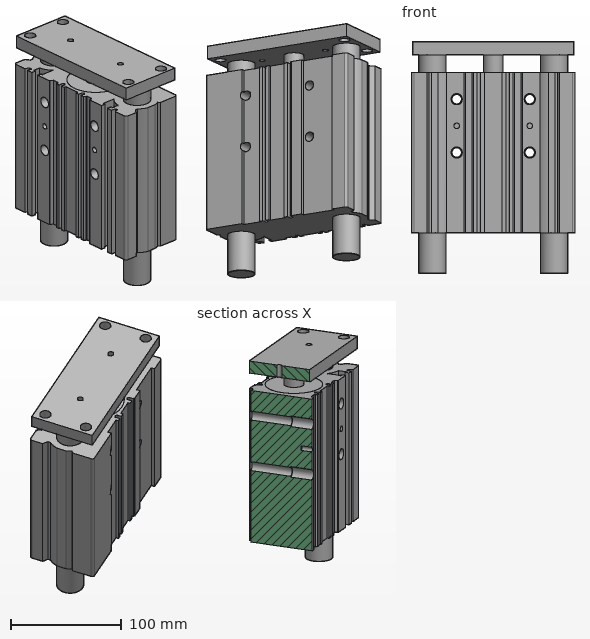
import cadquery as cq
import math

total_height = 209.5
plate_thickness = 12.0
rod_gap = 16.0
housing_height = 144.8
plate_bottom = total_height - plate_thickness
housing_top = plate_bottom - rod_gap
housing_bottom = housing_top - housing_height

housing_length = 148.0
side_x = housing_length / 2
back_y = 31.8
pad_y = -32.0
front_y = -31.5
corner_radius = 2.3

guide_rod_spacing = 110.0
guide_rod_x = guide_rod_spacing / 2
guide_rod_diameter = 25.0
guide_rod_chamfer = 0.5
side_wall_radius = 19.5
front_wall_radius = 21.0
piston_rod_diameter = 18.0
cap_diameter = 52.0
cap_thickness = 10.5

corner_block_x = 60.3
corner_block_lean = 2.3
rib_outer_x = 55.7
rib_inner_x = 49.9
pad_outer_x = 42.3
pad_inner_x = 26.6
centre_rib_x = 17.8
slot_x = 13.0
slot_width = 3.1
slot_depth = 5.2
centre_panel_x = 7.8
centre_panel_depth = 2.0
corner_groove_y = -27.2
pad_groove_y = -28.7
lip_depth = 4.2
lip_overhang = 2.0
wall_slope = 1.5

side_lip_y = 18.6
short_side_lip_y = 11.0
side_groove_depth = 4.5
side_lip_lean = 3.1

back_block_x = 58.7
back_pad_x = 26.8
back_step_x = 15.7
back_wide_block_x = 35.5
back_step_y = 30.8
back_groove_y = 28.5

mount_spacing = 66.0
mount_x = mount_spacing / 2
mount_heights = (109.4, 157.5)
mount_thread_diameter = 10.0
mount_thread_depth = 21.0
mount_through_diameter = 8.5
pin_diameter = 5.0
housing_pin_height = sum(mount_heights) / 2
housing_pin_depth = 10.5

plate_length = 145.5
plate_width = 60.1
plate_hole_diameter = 10.0
plate_hole_x = 65.0
plate_hole_y = 20.1
pin_slot_length = 5.7


def column(points):
    """Prism of housing height over a closed XY outline."""
    return cq.Workplane("XY", origin=(0, 0, housing_bottom)).polyline(points).close().extrude(housing_height)


def strip(x_start, x_end, y_start, y_end):
    """Rectangular column between two X and two Y positions."""
    return column([(x_start, y_start), (x_end, y_start), (x_end, y_end), (x_start, y_end)])


def disc(x, diameter, bottom, height):
    """Upright cylinder centred on (x, 0)."""
    return cq.Workplane("XY", origin=(x, 0, bottom)).circle(diameter / 2).extrude(height)


def both_sides(shape):
    """The shape together with its mirror image across X = 0."""
    return shape.union(shape.mirror("YZ"))


def guide_walls(radius):
    """Round walls that surround the two guide rods."""
    return both_sides(disc(guide_rod_x, 2 * radius, housing_bottom, housing_height))


def housing_block():
    block = strip(-side_x, side_x, front_y, back_y).edges("|Z").fillet(corner_radius)
    pads = strip(pad_inner_x, pad_outer_x, pad_y, 0)
    ribs = strip(rib_inner_x, rib_outer_x, pad_y, 0)
    return block.union(both_sides(pads.union(ribs)))


def round_slot(mouth_y, bottom_y):
    """Narrow groove with a round bottom."""
    radius = slot_width / 2
    straight_y = bottom_y - math.copysign(radius, bottom_y - mouth_y)
    return (
        cq.Workplane("XY", origin=(0, 0, housing_bottom))
        .moveTo(slot_x - radius, mouth_y)
        .lineTo(slot_x - radius, straight_y)
        .threePointArc((slot_x, bottom_y), (slot_x + radius, straight_y))
        .lineTo(slot_x + radius, mouth_y)
        .close()
        .extrude(housing_height)
    )


def front_grooves():
    corner_groove = column([
        (corner_block_x, pad_y),
        (corner_block_x - corner_block_lean, corner_groove_y),
        (rib_outer_x, corner_groove_y),
        (rib_outer_x, pad_y),
    ])
    lip_y = pad_y + lip_depth
    mouth = strip(pad_outer_x, rib_inner_x, pad_y, lip_y)
    cavity = strip(pad_outer_x - lip_overhang, rib_inner_x + lip_overhang, lip_y, 0)
    deep_groove = mouth.union(cavity).cut(guide_walls(front_wall_radius))
    pad_groove = column([
        (pad_inner_x, pad_y),
        (pad_inner_x - wall_slope, pad_groove_y),
        (centre_rib_x + wall_slope, pad_groove_y),
        (centre_rib_x + wall_slope, front_y + wall_slope),
        (centre_rib_x, front_y),
        (centre_rib_x, pad_y),
    ])
    slot = round_slot(front_y, front_y + slot_depth)
    panel = strip(0, centre_panel_x, front_y, front_y + centre_panel_depth)
    return both_sides(corner_groove.union(deep_groove).union(pad_groove).union(slot).union(panel))


def side_groove(face_x, back_lip_y):
    """Recess in one side, leaving the guide rod wall standing in its middle."""
    floor_x = face_x - math.copysign(side_groove_depth, face_x)
    recess = column([
        (face_x, back_lip_y),
        (floor_x, back_lip_y - side_lip_lean),
        (floor_x, side_lip_lean - side_lip_y),
        (face_x, -side_lip_y),
    ])
    return recess.cut(guide_walls(side_wall_radius))


def back_grooves():
    step = strip(-back_step_x, back_wide_block_x, back_step_y, back_y)
    wide_groove = strip(-back_block_x, -back_pad_x, back_groove_y, back_y)
    narrow_groove = strip(centre_rib_x, back_wide_block_x, back_groove_y, back_y)
    slots = both_sides(round_slot(back_step_y, back_step_y - slot_depth))
    panel = strip(-centre_panel_x, centre_panel_x, back_step_y - centre_panel_depth, back_y)
    return step.union(wide_groove).union(narrow_groove).union(slots).union(panel)


def front_holes(heights, diameter, depth):
    """Holes bored into both mounting pads from the front."""
    places = [(x, z) for x in (-mount_x, mount_x) for z in heights]
    return (
        cq.Workplane("XZ", origin=(0, pad_y, 0))
        .pushPoints(places)
        .circle(diameter / 2)
        .extrude(-depth)
    )


def make_housing():
    body = housing_block()
    body = body.cut(front_grooves())
    body = body.cut(side_groove(-side_x, side_lip_y))
    body = body.cut(side_groove(side_x, short_side_lip_y))
    body = body.cut(back_grooves())
    body = body.cut(front_holes(mount_heights, mount_through_diameter, back_y - pad_y))
    body = body.cut(front_holes(mount_heights, mount_thread_diameter, mount_thread_depth))
    body = body.cut(front_holes([housing_pin_height], pin_diameter, housing_pin_depth))
    body = body.cut(disc(0, cap_diameter, housing_top - cap_thickness, cap_thickness))
    for x in (-guide_rod_x, guide_rod_x):
        body = body.cut(disc(x, guide_rod_diameter, housing_bottom, housing_height))
    return body


def make_cap():
    """Rod cover, flush with the housing top, bored for the piston rod."""
    bottom = housing_top - cap_thickness
    cap = disc(0, cap_diameter, bottom, cap_thickness)
    return cap.cut(disc(0, piston_rod_diameter, bottom, cap_thickness))


def make_piston_rod():
    """Rod from the lower face of the cap up to the end plate."""
    return disc(0, piston_rod_diameter, housing_top - cap_thickness, cap_thickness + rod_gap)


def make_guide_carriage():
    """End plate with the two guide rods that hang from it."""
    plate = (
        cq.Workplane("XY", origin=(0, 0, plate_bottom))
        .rect(plate_length, plate_width)
        .extrude(plate_thickness)
    )
    holes = cq.Workplane("XY", origin=(0, 0, plate_bottom))
    corners = holes.rect(2 * plate_hole_x, 2 * plate_hole_y, forConstruction=True).vertices()
    plate = plate.cut(corners.circle(plate_hole_diameter / 2).extrude(plate_thickness))
    pin_slot = holes.center(-mount_x, 0).slot2D(pin_slot_length, pin_diameter).extrude(plate_thickness)
    plate = plate.cut(pin_slot)
    plate = plate.cut(disc(mount_x, pin_diameter, plate_bottom, plate_thickness))
    for x in (-guide_rod_x, guide_rod_x):
        rod = disc(x, guide_rod_diameter, 0, plate_bottom).faces("<Z").chamfer(guide_rod_chamfer)
        plate = plate.union(rod)
    return plate


housing = make_housing()
cap = make_cap()
piston_rod = make_piston_rod()
guide_carriage = make_guide_carriage()

result = cq.Compound.makeCompound([
    housing.val(),
    cap.val(),
    piston_rod.val(),
    guide_carriage.val(),
])